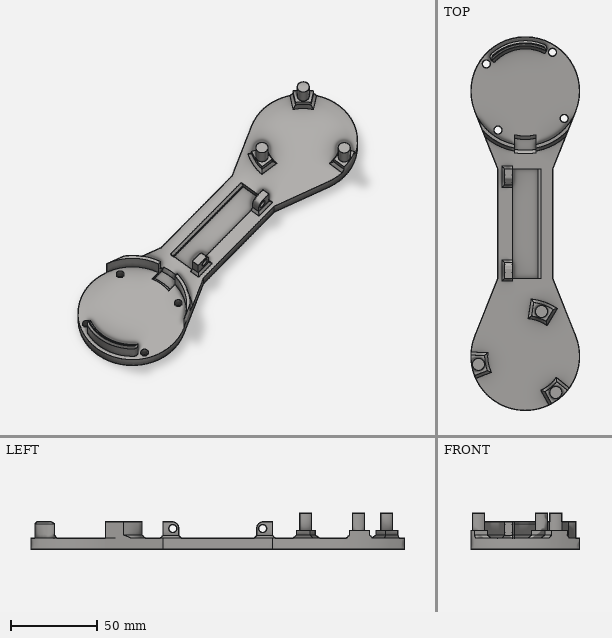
import cadquery as cq
import math

plate_thickness = 6.5
end_radius = 31.5
end_offset = 76.7
neck_half_width = 16.0
neck_half_length = 31.75

wall_top = 16.0
pad_top = 11.0
pin_top = 21.0

foot = 1.75

pin_circle_radius = 27.5
pin_diameter = 7.0
hole_diameter = 4.5
hole_angles = [55 + 90 * i for i in range(4)]
pin_angles = [70 + 120 * i for i in range(3)]

pad_inner_radius = 23.5
pad_outer_radius = end_radius
pad_half_angle = 11.0
rim_trim = 2.0

arc_wall_outer_radius = 29.25
arc_wall_thickness = 3.0
arc_wall_middle_angle = 100.0
arc_wall_half_angle = 37.5
arc_wall_corner_radius = 2.75
arc_wall_chamfer = 1.25

shoulder_wall_inner_radius = end_radius
shoulder_wall_outer_radius = 33.5

channel_width = 12.5
channel_depth = 2.0
channel_inner_radius = 26.0
channel_outer_radius = 36.25

pocket_left = -7.5
pocket_right = 9.0
pocket_depth = 3.0
pocket_chamfer = 1.5

lug_width = 4.5
lug_length = 9.25
lug_corner_radius = 4.0
lug_foot = 1.5
lug_hole_inset = 3.5

full_height = pin_top + plate_thickness


def polar(radius, angle):
    """Point at a radius and an angle in degrees."""
    return (radius * math.cos(math.radians(angle)), radius * math.sin(math.radians(angle)))


corner_drop = end_offset - neck_half_length
corner_distance = math.hypot(neck_half_width, corner_drop)
corner_angle = math.degrees(math.atan2(-corner_drop, neck_half_width))
tangent_angle = corner_angle + math.degrees(math.acos(end_radius / corner_distance))
tangent_x, tangent_drop = polar(end_radius, tangent_angle)
tangent_y = end_offset + tangent_drop


def plate_outline(height):
    """Full outline of the plate, extruded from the underside."""
    return (
        cq.Workplane("XY")
        .moveTo(neck_half_width, -neck_half_length)
        .lineTo(neck_half_width, neck_half_length)
        .lineTo(tangent_x, tangent_y)
        .threePointArc((0, end_offset + end_radius), (-tangent_x, tangent_y))
        .lineTo(-neck_half_width, neck_half_length)
        .lineTo(-neck_half_width, -neck_half_length)
        .lineTo(-tangent_x, -tangent_y)
        .threePointArc((0, -end_offset - end_radius), (tangent_x, -tangent_y))
        .close()
        .extrude(height)
    )


def ring(profile):
    """Ring about the origin's vertical axis from (radius, height) points, with its seam facing -X."""
    solid = cq.Workplane("XZ").polyline(profile).close().revolve(360, (0, 0), (0, 1))
    return solid.rotate((0, 0, 0), (0, 0, 1), 180)


def wedge(half_angle, height, margin=0.0, taper=0.0):
    """Upright wedge about +X; a margin moves its two flanks outward."""
    apex = -margin / math.sin(math.radians(half_angle))
    reach = 2 * end_radius
    half_width = (reach - apex) * math.tan(math.radians(half_angle))
    return (
        cq.Workplane("XY", origin=(0, 0, plate_thickness))
        .polyline([(apex, 0), (reach, -half_width), (reach, half_width)])
        .close()
        .extrude(height, taper=taper)
    )


def box(x_range, y_range, z_range):
    """Box between pairs of limits."""
    size = [high - low for low, high in (x_range, y_range, z_range)]
    corner = (x_range[0], y_range[0], z_range[0])
    return cq.Workplane("XY").box(*size, centered=False).translate(corner)


def pad_with_pin(outer_radius):
    """Footed annular pad with its pin, about +X from the origin."""
    foot_top = plate_thickness + foot
    pad = ring([
        (pad_inner_radius, plate_thickness),
        (outer_radius, plate_thickness),
        (outer_radius, pad_top),
        (pad_inner_radius, pad_top),
    ]).intersect(wedge(pad_half_angle, pad_top - plate_thickness))
    pad_foot = ring([
        (pad_inner_radius - foot, plate_thickness),
        (outer_radius + foot, plate_thickness),
        (outer_radius, foot_top),
        (pad_inner_radius, foot_top),
    ]).intersect(wedge(pad_half_angle, foot, margin=foot, taper=45))
    pin = (
        cq.Workplane("XY", origin=(pin_circle_radius, 0, plate_thickness))
        .circle(pin_diameter / 2)
        .extrude(pin_top - plate_thickness)
    )
    return pad.union(pad_foot).union(pin)


def arc_wall():
    """Wall with rounded outer corners, chamfered top and a foot on its inner side."""
    inner_radius = arc_wall_outer_radius - arc_wall_thickness
    wall = ring([
        (inner_radius, plate_thickness),
        (arc_wall_outer_radius, plate_thickness),
        (arc_wall_outer_radius, wall_top),
        (inner_radius, wall_top),
    ]).intersect(wedge(arc_wall_half_angle, wall_top - plate_thickness))
    wall = wall.edges("|Z").edges(">X").fillet(arc_wall_corner_radius)
    wall = wall.faces(">Z").edges(">X").chamfer(arc_wall_chamfer)
    wall = wall.cut(ring([
        (inner_radius, wall_top - arc_wall_chamfer),
        (inner_radius + arc_wall_chamfer, wall_top),
        (inner_radius, wall_top),
    ]))
    wall_foot = ring([
        (inner_radius - foot, plate_thickness),
        (inner_radius, plate_thickness),
        (inner_radius, plate_thickness + foot),
    ]).intersect(wedge(arc_wall_half_angle, foot))
    placed = wall.union(wall_foot).rotate((0, 0, 0), (0, 0, 1), arc_wall_middle_angle)
    return placed.translate((0, end_offset, 0))


def shoulder_walls():
    """Curved wall with an outer foot, bounded by the shoulder flanks."""
    curved_wall = ring([
        (shoulder_wall_inner_radius, 0),
        (shoulder_wall_outer_radius + foot, 0),
        (shoulder_wall_outer_radius + foot, plate_thickness),
        (shoulder_wall_outer_radius, plate_thickness + foot),
        (shoulder_wall_outer_radius, wall_top),
        (shoulder_wall_inner_radius, wall_top),
    ])
    shoulder = box((-end_radius, end_radius), (0, tangent_y), (0, wall_top))
    placed = curved_wall.translate((0, end_offset, 0))
    return placed.intersect(shoulder).intersect(plate_outline(wall_top))


def channel():
    """Cutter for the channel and for the gap it leaves in the shoulder wall."""
    floor = plate_thickness - channel_depth
    trough = ring([
        (channel_inner_radius + channel_depth, floor),
        (channel_outer_radius - channel_depth, floor),
        (channel_outer_radius, plate_thickness),
        (channel_outer_radius, full_height),
        (channel_inner_radius, full_height),
        (channel_inner_radius, plate_thickness),
    ])
    half = channel_width / 2
    placed = trough.translate((0, end_offset, 0))
    return placed.intersect(box((-half, half), (0, end_offset), (0, full_height)))


def pocket():
    """Cutter for the neck pocket."""
    floor = plate_thickness - pocket_depth
    return (
        cq.Workplane("XZ", origin=(0, neck_half_length, 0))
        .polyline([
            (pocket_left, floor),
            (pocket_right - pocket_chamfer, floor),
            (pocket_right - pocket_chamfer, plate_thickness - pocket_chamfer),
            (pocket_right, plate_thickness),
            (pocket_left, plate_thickness),
        ])
        .close()
        .extrude(2 * neck_half_length)
    )


def lug():
    """Lug at the upper end of the pocket, with one rounded top corner and a cross hole."""
    left = pocket_left - lug_width
    low = neck_half_length - lug_length
    body = box((left, pocket_left), (low, neck_half_length), (plate_thickness, wall_top))
    body = body.edges("|X and >Z and <Y").fillet(lug_corner_radius)
    base = (
        cq.Workplane("XY", origin=(pocket_left, neck_half_length - lug_length / 2, plate_thickness))
        .rect(2 * (lug_width + lug_foot), lug_length + 2 * lug_foot)
        .extrude(lug_foot, taper=45)
    )
    pocket_side = box((pocket_left, end_radius), (0, end_offset), (plate_thickness, wall_top))
    hole = (
        cq.Workplane("YZ", origin=(left, low + lug_hole_inset, wall_top - lug_corner_radius))
        .circle(hole_diameter / 2)
        .extrude(lug_width)
    )
    return body.union(base.cut(pocket_side)).cut(hole)


result = plate_outline(plate_thickness)

for angle in pin_angles:
    faces_neck = angle < 180
    station = pad_with_pin(pad_outer_radius if faces_neck else pad_outer_radius + rim_trim)
    station = station.rotate((0, 0, 0), (0, 0, 1), angle).translate((0, -end_offset, 0))
    result = result.union(station.intersect(plate_outline(full_height)))

result = result.union(arc_wall()).union(shoulder_walls()).cut(channel())
hole_points = [polar(pin_circle_radius, angle) for angle in hole_angles]
holes = (
    cq.Workplane("XY", origin=(0, end_offset, 0))
    .pushPoints(hole_points)
    .circle(hole_diameter / 2)
    .extrude(full_height)
)
result = result.cut(holes)

upper_lug = lug()
result = result.cut(pocket()).union(upper_lug).union(upper_lug.mirror("XZ"))